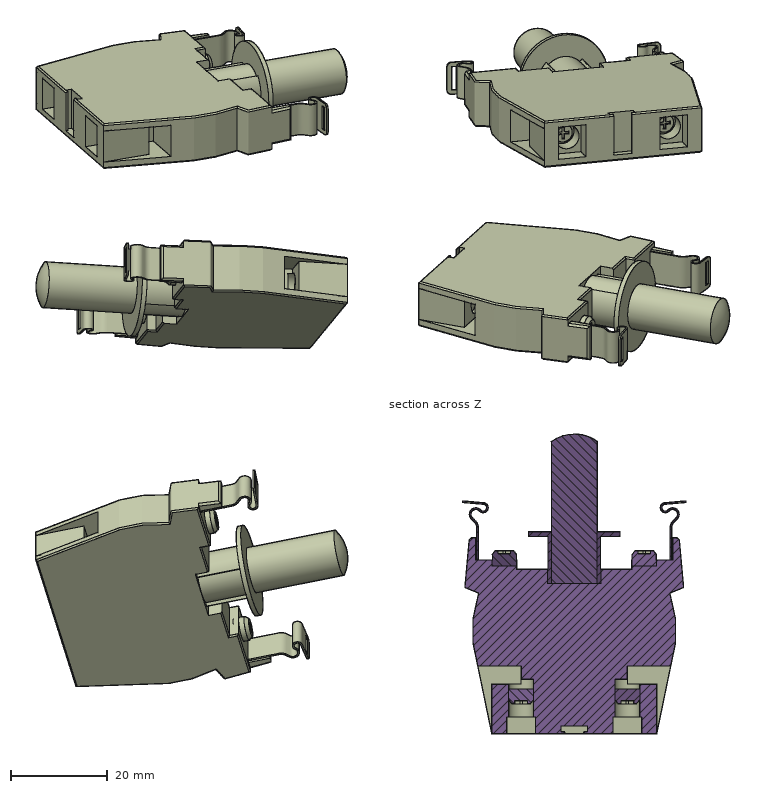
import cadquery as cq
import math


HOUSING_THICKNESS = 10.05
FRONT_HALF_WIDTH = 17.05
BELLY_HALF_WIDTH = 20.95
BELLY_START = 18.85
BELLY_END = 23.75
NECK_HALF_WIDTH = 19.8
NECK_Y = 29.1
EAR_HALF_WIDTH = 22.6
EAR_Y = 30.25
EAR_CORNER_RADIUS = 0.4
REAR_Y = 35.95
STEP_HALF_WIDTH = 11.85
STEP_Y = 34.05
EDGE_CHAMFER = 0.3

TAB_END_Y = 40.55
TAB_END_HALF_WIDTH = 21.7
TAB_HALF_HEIGHT = 3.8
TAB_CHAMFER = 0.45
TAB_CLIP_GAP = 0.2

GROOVE_NECK_HALF_WIDTH = 2.0
GROOVE_NECK_DEPTH = 0.5
GROOVE_HEAD_HALF_WIDTH = 2.7
GROOVE_DEPTH = 1.6
GROOVE_FLOOR_Z = -3.7

TERMINAL_X = 11.0
TERMINAL_HEIGHT = 6.95
POCKET_WIDTH = 5.9
POCKET_DEPTH = 3.5
BORE_END_Y = 11.3
WIRE_WALL_END_Y = 10.3
WIRE_OPENING_END_Y = 14.0

SCREW_RADIUS = 2.55
SCREW_LENGTH = 3.1
SCREW_CHAMFER_RADIAL = 0.6
SCREW_CHAMFER_AXIAL = 0.8
CROSS_LENGTH = 2.55
CROSS_WIDTH = 0.55
CROSS_DEPTH = 0.6
TERMINAL_SCREW_TOP_Y = 6.2
REAR_SCREW_X = 14.45
REAR_SCREW_TOP_Y = 37.9

PLUNGER_RADIUS = 4.8
PLUNGER_START_Y = 31.1
PLUNGER_SHOULDER_Y = 60.45
PLUNGER_TIP_Y = 62
FLANGE_RADIUS = 9.5
FLANGE_START_Y = 40.8
FLANGE_THICKNESS = 1.0
RIB_RADIUS = 5.5
RIB_HALF_ANGLE = 45

CLIP_THICKNESS = 0.4
CLIP_WIDTH = 6.95
CLIP_X = 19.95
CLIP_BEND_RADIUS = 1.85
CLIP_BEND_ANGLE = 44
BULGE_X = 20.35
BULGE_Y = 45.4
BULGE_RADIUS = 1.2
HOOK_RADIUS = 0.85
HOOK_ANGLE = 42
CLIP_TIP_X = 23.1
TIP_SLOPE_ANGLE = 5
TIP_CORNER_RADIUS = 0.9
TIP_SLOT_MARGIN = 1.0
TIP_SLOT_WIDTH = 1.0
TIP_SLOT_HEIGHT = 5.1

SIDES = (-1, 1)


def box_between(x_range, y_range, z_range):
    """Box spanning the given ranges, each in either order."""
    spans = [sorted(r) for r in (x_range, y_range, z_range)]
    sizes = [high - low for low, high in spans]
    corner = tuple(low for low, _ in spans)
    return cq.Workplane("XY").box(*sizes, centered=False).translate(corner)


def rod(x, start_y, end_y, radius):
    """Round rod along Y at the given X."""
    plane = cq.Workplane("XZ", origin=(x, start_y, 0))
    return plane.circle(radius).extrude(start_y - end_y)


def ear_side_x(y):
    """Half width of the straight line along the ear and its tab."""
    slope = (TAB_END_HALF_WIDTH - EAR_HALF_WIDTH) / (TAB_END_Y - EAR_Y)
    return EAR_HALF_WIDTH + slope * (y - EAR_Y)


def housing_block():
    """Mirror-symmetric plate with rounded ear corners and chamfered top and bottom rims."""
    right_side = [
        (FRONT_HALF_WIDTH, 0),
        (BELLY_HALF_WIDTH, BELLY_START),
        (BELLY_HALF_WIDTH, BELLY_END),
        (NECK_HALF_WIDTH, NECK_Y),
        (EAR_HALF_WIDTH, EAR_Y),
        (ear_side_x(REAR_Y), REAR_Y),
        (STEP_HALF_WIDTH, REAR_Y),
        (STEP_HALF_WIDTH, STEP_Y),
    ]
    left_side = [(-x, y) for x, y in reversed(right_side)]
    block = (
        cq.Workplane("XY", origin=(0, 0, -HOUSING_THICKNESS / 2))
        .polyline(right_side + left_side)
        .close()
        .extrude(HOUSING_THICKNESS)
    )
    for side in SIDES:
        corner = cq.selectors.NearestToPointSelector((side * EAR_HALF_WIDTH, EAR_Y, 0))
        block = block.edges(corner).fillet(EAR_CORNER_RADIUS)
    return block.faces("|Z").edges().chamfer(EDGE_CHAMFER)


def tab(side):
    """Tab behind an ear, chamfered around its outer face and set just clear of the clip."""
    inner_x = CLIP_X + CLIP_THICKNESS / 2 + TAB_CLIP_GAP
    outline = [
        (side * inner_x, REAR_Y),
        (side * ear_side_x(REAR_Y), REAR_Y),
        (side * TAB_END_HALF_WIDTH, TAB_END_Y),
        (side * inner_x, TAB_END_Y),
    ]
    middle_y = (REAR_Y + TAB_END_Y) / 2
    outer_face = cq.selectors.NearestToPointSelector((side * ear_side_x(middle_y), middle_y, 0))
    return (
        cq.Workplane("XY", origin=(0, 0, -TAB_HALF_HEIGHT))
        .polyline(outline)
        .close()
        .extrude(2 * TAB_HALF_HEIGHT)
        .faces(outer_face)
        .edges("not <Y")
        .chamfer(TAB_CHAMFER)
    )


def front_groove():
    """T-shaped groove, open at the top and closed by a floor at the bottom."""
    z_range = (GROOVE_FLOOR_Z, HOUSING_THICKNESS / 2)
    neck_width = (-GROOVE_NECK_HALF_WIDTH, GROOVE_NECK_HALF_WIDTH)
    neck = box_between(neck_width, (0, GROOVE_NECK_DEPTH), z_range)
    head_width = (-GROOVE_HEAD_HALF_WIDTH, GROOVE_HEAD_HALF_WIDTH)
    head = box_between(head_width, (GROOVE_NECK_DEPTH, GROOVE_DEPTH), z_range)
    return neck.union(head)


def terminal_cavity(side):
    """Screw pocket and bore from the front, meeting a wire opening from the side."""
    z_range = (-TERMINAL_HEIGHT / 2, TERMINAL_HEIGHT / 2)
    center_x = side * TERMINAL_X
    pocket_x = (center_x - POCKET_WIDTH / 2, center_x + POCKET_WIDTH / 2)
    pocket = box_between(pocket_x, (0, POCKET_DEPTH), z_range)
    bore = rod(center_x, POCKET_DEPTH, BORE_END_Y, SCREW_RADIUS)
    side_x = (side * FRONT_HALF_WIDTH, side * BELLY_HALF_WIDTH)
    side_opening = box_between(side_x, (0, WIRE_OPENING_END_Y), z_range)
    passage_x = (center_x, side * BELLY_HALF_WIDTH)
    passage = box_between(passage_x, (WIRE_WALL_END_Y, WIRE_OPENING_END_Y), z_range)
    return pocket.union(bore).union(side_opening).union(passage)


def make_housing():
    housing = housing_block().cut(front_groove())
    half_thickness = HOUSING_THICKNESS / 2
    plunger_channel = box_between(
        (-RIB_RADIUS, RIB_RADIUS), (PLUNGER_START_Y, STEP_Y), (-half_thickness, half_thickness)
    )
    housing = housing.cut(plunger_channel)
    for side in SIDES:
        screw_seat = rod(side * REAR_SCREW_X, REAR_SCREW_TOP_Y - SCREW_LENGTH, REAR_Y, SCREW_RADIUS)
        housing = housing.union(tab(side)).cut(terminal_cavity(side)).cut(screw_seat)
    return housing


def make_screw(x, head_y, facing):
    """Cross-slot screw along Y whose head, at head_y, faces +Y (facing 1) or -Y (facing -1)."""
    profile = [
        (0, 0),
        (SCREW_RADIUS - SCREW_CHAMFER_RADIAL, 0),
        (SCREW_RADIUS, -SCREW_CHAMFER_AXIAL),
        (SCREW_RADIUS, -SCREW_LENGTH),
        (0, -SCREW_LENGTH),
    ]
    screw = cq.Workplane("XY").polyline(profile).close().revolve(360, (0, 0, 0), (0, 1, 0))
    for length_x, length_z in ((CROSS_LENGTH, CROSS_WIDTH), (CROSS_WIDTH, CROSS_LENGTH)):
        arm = cq.Workplane("XY").box(length_x, 2 * CROSS_DEPTH, length_z)
        screw = screw.cut(arm)
    if facing < 0:
        screw = screw.rotate((0, 0, 0), (0, 0, 1), 180)
    return screw.translate((x, head_y, 0))


def make_plunger():
    """Round plunger with a domed tip."""
    dome_height = PLUNGER_TIP_Y - PLUNGER_SHOULDER_Y
    dome_radius = (PLUNGER_RADIUS**2 + dome_height**2) / (2 * dome_height)
    half_angle = math.asin(PLUNGER_RADIUS / dome_radius) / 2
    dome_middle = (
        dome_radius * math.sin(half_angle),
        PLUNGER_TIP_Y - dome_radius * (1 - math.cos(half_angle)),
    )
    return (
        cq.Workplane("XY")
        .moveTo(0, PLUNGER_START_Y)
        .lineTo(PLUNGER_RADIUS, PLUNGER_START_Y)
        .lineTo(PLUNGER_RADIUS, PLUNGER_SHOULDER_Y)
        .threePointArc(dome_middle, (0, PLUNGER_TIP_Y))
        .close()
        .revolve(360, (0, 0, 0), (0, 1, 0))
    )


def make_collar():
    """Flange ring around the plunger with a curved guide rib under it on each side."""
    collar = rod(0, FLANGE_START_Y, FLANGE_START_Y + FLANGE_THICKNESS, FLANGE_RADIUS)
    rib_edge = RIB_RADIUS * math.tan(math.radians(RIB_HALF_ANGLE))
    for side in SIDES:
        wedge = (
            cq.Workplane("XZ", origin=(0, PLUNGER_START_Y, 0))
            .polyline([(0, 0), (side * RIB_RADIUS, rib_edge), (side * RIB_RADIUS, -rib_edge)])
            .close()
            .extrude(PLUNGER_START_Y - FLANGE_START_Y)
        )
        rib = rod(0, PLUNGER_START_Y, FLANGE_START_Y, RIB_RADIUS).intersect(wedge)
        collar = collar.union(rib)
    return collar.cut(rod(0, PLUNGER_START_Y, FLANGE_START_Y + FLANGE_THICKNESS, PLUNGER_RADIUS))


def on_circle(center, radius, degrees):
    """Point on a circle at an angle measured from +X towards +Y."""
    angle = math.radians(degrees)
    return (center[0] + radius * math.cos(angle), center[1] + radius * math.sin(angle))


def make_clip(side):
    """Bent spring strip: upright leg, outward bulge, inward hook and an outward sloping tip."""
    bulge_center = (BULGE_X, BULGE_Y)
    bulge_start_angle = -CLIP_BEND_ANGLE
    bulge_end_angle = 180 - HOOK_ANGLE
    bulge_start = on_circle(bulge_center, BULGE_RADIUS, bulge_start_angle)
    bulge_middle = on_circle(bulge_center, BULGE_RADIUS, (bulge_start_angle + bulge_end_angle) / 2)
    bulge_end = on_circle(bulge_center, BULGE_RADIUS, bulge_end_angle)

    bend_angle = math.radians(CLIP_BEND_ANGLE)
    bend_end_x = CLIP_X + CLIP_BEND_RADIUS * (1 - math.cos(bend_angle))
    bend_end_y = bulge_start[1] - (bulge_start[0] - bend_end_x) / math.tan(bend_angle)
    bend_center = (CLIP_X + CLIP_BEND_RADIUS, bend_end_y - CLIP_BEND_RADIUS * math.sin(bend_angle))
    bend_middle = on_circle(bend_center, CLIP_BEND_RADIUS, 180 - CLIP_BEND_ANGLE / 2)

    hook_center = on_circle(bulge_center, BULGE_RADIUS + HOOK_RADIUS, bulge_end_angle)
    hook_start_angle = -HOOK_ANGLE
    hook_end_angle = -270 + TIP_SLOPE_ANGLE
    hook_middle = on_circle(hook_center, HOOK_RADIUS, (hook_start_angle + hook_end_angle) / 2)
    hook_end = on_circle(hook_center, HOOK_RADIUS, hook_end_angle)
    tip_rise = (CLIP_TIP_X - hook_end[0]) * math.tan(math.radians(TIP_SLOPE_ANGLE))
    tip = (CLIP_TIP_X, hook_end[1] + tip_rise)

    path = (
        cq.Workplane("XY")
        .moveTo(CLIP_X, REAR_Y)
        .lineTo(CLIP_X, bend_center[1])
        .threePointArc(bend_middle, (bend_end_x, bend_end_y))
        .lineTo(*bulge_start)
        .threePointArc(bulge_middle, bulge_end)
        .threePointArc(hook_middle, hook_end)
        .lineTo(*tip)
    )
    section = cq.Workplane("XZ", origin=(CLIP_X, REAR_Y, 0)).rect(CLIP_THICKNESS, CLIP_WIDTH)
    clip = section.sweep(path, transition="right")
    clip = clip.faces(">X").edges("not |Z").fillet(TIP_CORNER_RADIUS)
    slot_center_x = CLIP_TIP_X - TIP_SLOT_MARGIN - TIP_SLOT_WIDTH / 2
    slot = cq.Workplane("XY").box(TIP_SLOT_WIDTH, 4 * CLIP_THICKNESS, TIP_SLOT_HEIGHT)
    clip = clip.cut(slot.translate((slot_center_x, tip[1], 0)))
    return clip if side > 0 else clip.mirror("YZ")


housing = make_housing()
plunger = make_plunger()
collar = make_collar()
terminal_screws = [make_screw(side * TERMINAL_X, TERMINAL_SCREW_TOP_Y, -1) for side in SIDES]
rear_screws = [make_screw(side * REAR_SCREW_X, REAR_SCREW_TOP_Y, 1) for side in SIDES]
clips = [make_clip(side) for side in SIDES]

bodies = [housing, plunger, collar, *terminal_screws, *rear_screws, *clips]
result = cq.Compound.makeCompound([body.solids().val() for body in bodies])